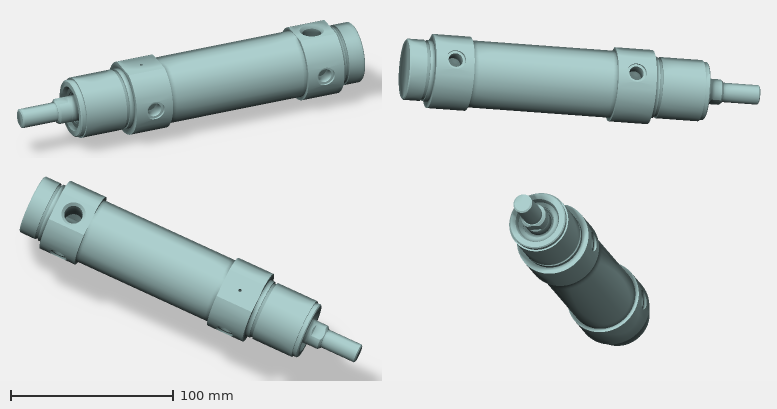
import cadquery as cq
import math

overall_length = 223.0

head_diameter = 46.0
flat_height = 21.0
head_length = 24.0
spigot_diameter = 38.0
groove_diameter = 36.0
groove_width = 2.0
groove_offset = 3.0
edge_chamfer = 0.7

barrel_diameter = 41.5
collar_length = 2.0

front_face_y = 33.7
thread_end_y = 37.0
front_head_y = 68.7
front_head_end_y = front_head_y + head_length
barrel_start_y = front_head_end_y + collar_length
rear_head_end_y = 207.5
rear_head_y = rear_head_end_y - head_length
barrel_end_y = rear_head_y - collar_length

hole_offset = 11.5
front_hole_y = front_head_end_y - hole_offset
rear_hole_y = rear_head_y + hole_offset

trunnion_hole_diameter = 9.0
trunnion_rim_diameter = 12.0
trunnion_rim_depth = 1.8
trunnion_depth = 10.0

port_diameter = 11.4
port_rim_diameter = 15.0
port_floor_z = 0.0
drill_point_angle = 118.0
port_bar_diameter = 4.0

vent_diameter = 2.0
vent_depth = 4.0

recess_diameter = 25.5
recess_rim_diameter = 27.9
recess_depth = 2.7
wiper_seat_diameter = 20.0
wiper_seat_depth = 0.7
wiper_rim_diameter = 18.7
wiper_bore_diameter = 17.0

rod_diameter = 16.0
rod_shoulder_y = 31.7
rod_shoulder_length = 0.7
wrench_diameter = 15.8
wrench_flats = 13.8
wrench_flat_end_y = 30.5
wrench_start_y = 23.2
wrench_end_diameter = 13.0
stud_diameter = 12.0
stud_tip_diameter = 10.0
stud_chamfer = 0.7


def turned(profile):
    """Solid of revolution about Y from (radius, y) points; the axis closes the outline."""
    start_y = profile[0][1]
    end_y = profile[-1][1]
    points = [(0, start_y), *profile, (0, end_y)]
    return cq.Workplane("XY").polyline(points).close().revolve(360, (0, 0, 0), (0, 1, 0))


def flat_cutter(start_y):
    """Block that planes the top flat on a head block."""
    return (
        cq.Workplane("XY", origin=(0, start_y + head_length / 2, flat_height))
        .box(head_diameter, head_length, head_diameter, centered=(True, True, False))
    )


def trunnion_cutters(center_y):
    """Blind counterbored holes that enter both sides of a head on the X axis."""
    cutters = cq.Workplane("XY")
    for side in (-1, 1):
        plane = cq.Plane(
            origin=(side * head_diameter / 2, center_y, 0), xDir=(0, 1, 0), normal=(side, 0, 0)
        )
        hole = cq.Workplane(plane).circle(trunnion_hole_diameter / 2).extrude(-trunnion_depth)
        rim = cq.Workplane(plane).circle(trunnion_rim_diameter / 2).extrude(-trunnion_rim_depth)
        cutters = cutters.add(hole.union(rim))
    return cutters.combine()


def port_cutter(center_y):
    """Drilled air port with a countersunk rim, crossed by a round bar along Y."""
    port_radius = port_diameter / 2
    rim_radius = port_rim_diameter / 2
    point_depth = port_radius / math.tan(math.radians(drill_point_angle / 2))
    drilled = (
        cq.Workplane("XZ", origin=(0, center_y, 0))
        .moveTo(0, port_floor_z - point_depth)
        .lineTo(port_radius, port_floor_z)
        .lineTo(port_radius, flat_height - (rim_radius - port_radius))
        .lineTo(rim_radius, flat_height)
        .lineTo(0, flat_height)
        .close()
        .revolve(360, (0, 0, 0), (0, 1, 0))
    )
    bar = (
        cq.Workplane("XZ", origin=(0, center_y + port_radius, port_floor_z))
        .circle(port_bar_diameter / 2)
        .extrude(port_diameter)
    )
    return drilled.cut(bar)


def make_front_head():
    groove_end_y = front_head_y - groove_offset
    groove_start_y = groove_end_y - groove_width
    nose_diameter = groove_diameter
    body = turned([
        (nose_diameter / 2 - edge_chamfer, front_face_y),
        (nose_diameter / 2, front_face_y + edge_chamfer),
        (nose_diameter / 2, thread_end_y),
        (spigot_diameter / 2, thread_end_y),
        (spigot_diameter / 2, groove_start_y),
        (groove_diameter / 2, groove_start_y),
        (groove_diameter / 2, groove_end_y),
        (spigot_diameter / 2, groove_end_y),
        (spigot_diameter / 2, front_head_y),
        (head_diameter / 2, front_head_y),
        (head_diameter / 2, front_head_end_y),
        (barrel_diameter / 2, front_head_end_y),
        (barrel_diameter / 2, barrel_start_y),
    ])
    recess_floor_y = front_face_y + recess_depth
    wiper_y = recess_floor_y + wiper_seat_depth
    wiper_end_y = wiper_y + (wiper_rim_diameter - wiper_bore_diameter) / 2
    cavity = turned([
        (recess_rim_diameter / 2, front_face_y),
        (recess_diameter / 2, recess_floor_y),
        (wiper_seat_diameter / 2, recess_floor_y),
        (wiper_seat_diameter / 2, wiper_y),
        (wiper_rim_diameter / 2, wiper_y),
        (wiper_bore_diameter / 2, wiper_end_y),
        (rod_diameter / 2, wiper_end_y),
        (rod_diameter / 2, barrel_start_y),
    ])
    vent = (
        cq.Workplane("XY", origin=(0, front_hole_y, flat_height))
        .circle(vent_diameter / 2)
        .extrude(-vent_depth)
    )
    return (
        body.cut(flat_cutter(front_head_y))
        .cut(cavity)
        .cut(trunnion_cutters(front_hole_y))
        .cut(vent)
    )


def make_rear_head():
    groove_start_y = rear_head_end_y + groove_offset
    groove_end_y = groove_start_y + groove_width
    body = turned([
        (barrel_diameter / 2, barrel_end_y),
        (barrel_diameter / 2, rear_head_y),
        (head_diameter / 2, rear_head_y),
        (head_diameter / 2, rear_head_end_y),
        (spigot_diameter / 2, rear_head_end_y),
        (spigot_diameter / 2, groove_start_y),
        (groove_diameter / 2, groove_start_y),
        (groove_diameter / 2, groove_end_y),
        (spigot_diameter / 2, groove_end_y),
        (spigot_diameter / 2, overall_length - edge_chamfer),
        (spigot_diameter / 2 - edge_chamfer, overall_length),
    ])
    return (
        body.cut(flat_cutter(rear_head_y))
        .cut(trunnion_cutters(rear_hole_y))
        .cut(port_cutter(rear_hole_y))
    )


def make_barrel():
    return turned([(barrel_diameter / 2, barrel_start_y), (barrel_diameter / 2, barrel_end_y)])


def make_rod():
    wrench_chamfer = (wrench_diameter - wrench_end_diameter) / 2
    body = turned([
        (stud_tip_diameter / 2, 0),
        (stud_diameter / 2, stud_chamfer),
        (stud_diameter / 2, wrench_start_y),
        (wrench_end_diameter / 2, wrench_start_y),
        (wrench_diameter / 2, wrench_start_y + wrench_chamfer),
        (wrench_diameter / 2, rod_shoulder_y),
        (rod_diameter / 2, rod_shoulder_y + rod_shoulder_length),
        (rod_diameter / 2, barrel_start_y),
    ])
    flat_z = wrench_flats / 2
    clear_z = rod_diameter
    runout = clear_z - flat_z
    for side in (-1, 1):
        cutter = (
            cq.Workplane("YZ")
            .moveTo(wrench_start_y, side * flat_z)
            .lineTo(wrench_flat_end_y, side * flat_z)
            .lineTo(wrench_flat_end_y + runout, side * clear_z)
            .lineTo(wrench_start_y, side * clear_z)
            .close()
            .extrude(rod_diameter / 2, both=True)
        )
        body = body.cut(cutter)
    return body


front_head = make_front_head()
rear_head = make_rear_head()
barrel = make_barrel()
rod = make_rod()

result = cq.Compound.makeCompound(
    [front_head.val(), rear_head.val(), barrel.val(), rod.val()]
)